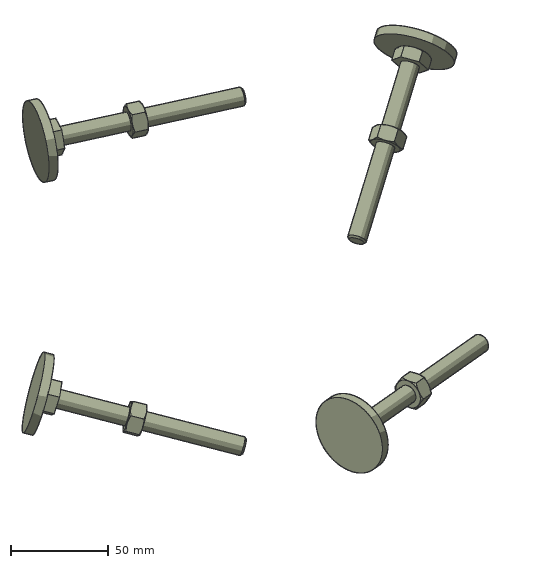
import cadquery as cq
import math

total_length = 112.5

pad_diameter = 43.0
pad_thickness = 5.0

neck_diameter = 7.1
neck_length = 0.6

stud_diameter = 10.0
tip_chamfer = 1.0

stud_hex_flats = 17.0
stud_hex_height = 7.0

nut_flats = 16.0
nut_height = 8.4
nut_start = 50.0

hex_bevel_angle = 30.0
bevel_circle_ratio = 0.99

stud_hex_start = pad_thickness + neck_length
stud_start = stud_hex_start + stud_hex_height


def cylinder(diameter, start, length):
    """Cylinder on the Y axis from Y = start."""
    axis_plane = cq.Workplane("XZ", origin=(0, start, 0))
    return axis_plane.circle(diameter / 2).extrude(-length)


def hexagon(across_flats, start, height, bevel_far_end):
    """Hexagonal prism with corners on +X and -X, its corners bevelled at the near end or both ends."""
    corner_diameter = across_flats / math.cos(math.radians(30))
    prism = cq.Workplane("XZ", origin=(0, start, 0)).polygon(6, corner_diameter).extrude(-height)

    end_radius = across_flats * bevel_circle_ratio / 2
    corner_radius = corner_diameter / 2
    bevel_depth = (corner_radius - end_radius) * math.tan(math.radians(hex_bevel_angle))
    end = start + height

    profile = cq.Workplane("XY").moveTo(0, start).lineTo(end_radius, start)
    profile = profile.lineTo(corner_radius, start + bevel_depth)
    if bevel_far_end:
        profile = profile.lineTo(corner_radius, end - bevel_depth).lineTo(end_radius, end)
    else:
        profile = profile.lineTo(corner_radius, end)
    envelope = profile.lineTo(0, end).close().revolve(360, (0, 0, 0), (0, 1, 0))
    return prism.intersect(envelope)


def make_pad():
    """Round foot pad."""
    return cylinder(pad_diameter, 0, pad_thickness)


def make_stud():
    """Stud with a chamfered tip, a hexagon and a short neck standing on the pad."""
    shank = cylinder(stud_diameter, stud_start, total_length - stud_start)
    shank = shank.faces(">Y").chamfer(tip_chamfer)
    collar = hexagon(stud_hex_flats, stud_hex_start, stud_hex_height, bevel_far_end=False)
    neck = cylinder(neck_diameter, pad_thickness, neck_length)
    return shank.union(collar).union(neck)


def make_lock_nut():
    """Hexagon nut on the stud, bevelled at both ends."""
    blank = hexagon(nut_flats, nut_start, nut_height, bevel_far_end=True)
    return blank.cut(cylinder(stud_diameter, nut_start, nut_height))


pad = make_pad()
stud = make_stud()
lock_nut = make_lock_nut()

result = cq.Compound.makeCompound([pad.val(), stud.val(), lock_nut.val()])